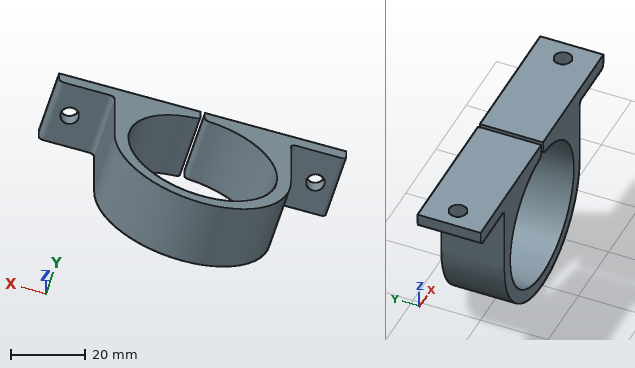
import cadquery as cq

length = 81.3
width = 18.7
height = 50.2

outer_radius = 24.95
bore_radius = 21.05
top_z = height - outer_radius

flange_thickness = 4.5
gap = 1.2
hole_diameter = 5.0
hole_spacing = 69.5
fillet_radius = 1.5

flange_bottom_z = top_z - flange_thickness


def centered_box(size_x, bottom_z, size_z):
    """Box centered on X and Y, standing on the given height."""
    return (
        cq.Workplane("XY", origin=(0, 0, bottom_z))
        .rect(size_x, width)
        .extrude(size_z)
    )


def y_cylinder(radius):
    """Cylinder along Y, as long as the clamp is wide."""
    return cq.Workplane("XZ").circle(radius).extrude(width / 2, both=True)


def edges_near(x, z):
    """Selector for the Y edges in a small window around x and z."""
    reach = fillet_radius / 2
    return cq.selectors.BoxSelector(
        (x - reach, -width, z - reach),
        (x + reach, width, z + reach),
    )


body = y_cylinder(outer_radius)
body = body.intersect(centered_box(length, -outer_radius, height))
body = body.union(centered_box(2 * outer_radius, 0, top_z))
body = body.union(centered_box(length, flange_bottom_z, flange_thickness))

body = body.cut(y_cylinder(bore_radius))
body = body.cut(centered_box(gap, 0, top_z))

lip_z = (bore_radius**2 - (gap / 2) ** 2) ** 0.5
rounded_places = [
    (length / 2, flange_bottom_z),
    (outer_radius, flange_bottom_z),
    (gap / 2, lip_z),
]
for x, z in rounded_places:
    for side in (-1, 1):
        body = body.edges("|Y").edges(edges_near(side * x, z)).fillet(fillet_radius)

screw_holes = (
    cq.Workplane("XY", origin=(0, 0, flange_bottom_z))
    .pushPoints([(-hole_spacing / 2, 0), (hole_spacing / 2, 0)])
    .circle(hole_diameter / 2)
    .extrude(flange_thickness)
)
result = body.cut(screw_holes)